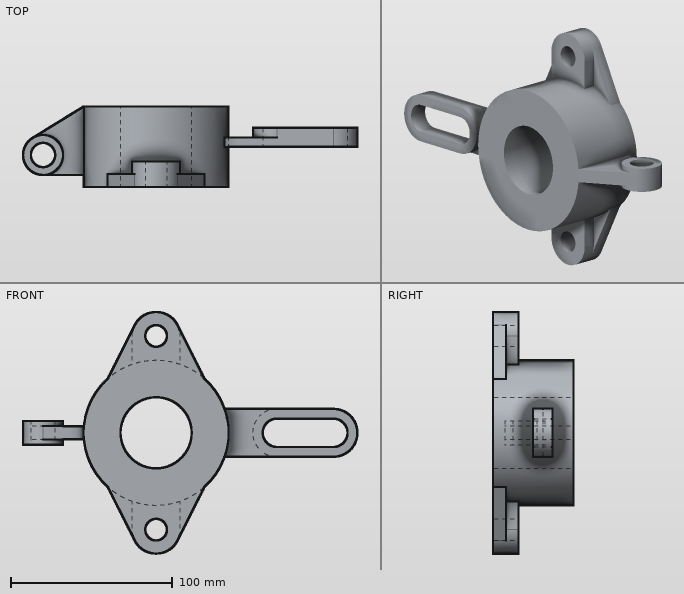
import cadquery as cq
import math

barrel_radius = 45.0
barrel_length = 50.0
bore_radius = 22.0

flange_length = 150.0
ear_radius = 15.0
ear_thickness = 16.0
ear_hole_radius = 6.6
ear_center_z = flange_length / 2 - ear_radius
web_thickness = 8.0
web_foot_x = 30.0
web_foot_z = math.sqrt(barrel_radius**2 - web_foot_x**2)

overall_length = 207.5
eye_radius = 12.5
eye_hole_radius = 7.5
eye_height = 15.0
eye_reach = 82.5
eye_x = eye_radius - eye_reach
eye_y = 20.0
bracket_thickness = 8.3

arm_radius = 15.0
arm_front_y = 25.0
arm_thickness = 12.0
arm_root_thickness = 6.0
slot_radius = 8.7
slot_spacing = 35.0
slot_outer_x = overall_length - eye_reach - arm_radius
slot_inner_x = slot_outer_x - slot_spacing
slot_middle_x = (slot_inner_x + slot_outer_x) / 2


def plane_facing_back(y):
    """XZ sketch plane at the given Y, extruding toward +Y; local y is -Z."""
    return cq.Workplane(cq.Plane(origin=(0, y, 0), xDir=(1, 0, 0), normal=(0, 1, 0)))


def tangent_point(px, py, cx, cy, radius, side):
    """Point where a line from (px, py) touches a circle; side (+1 or -1) picks which one."""
    toward = math.atan2(py - cy, px - cx)
    swing = math.acos(radius / math.hypot(px - cx, py - cy))
    angle = toward + side * swing
    return cx + radius * math.cos(angle), cy + radius * math.sin(angle)


def cylinder_along_y(x, z, radius, length):
    return plane_facing_back(0).center(x, -z).circle(radius).extrude(length)


def make_ear(side):
    """Round-ended ear with a thinner tapered web; side is +1 above and -1 below."""
    center_z = side * ear_center_z
    ear = cylinder_along_y(0, center_z, ear_radius, ear_thickness)
    neck = (
        plane_facing_back(0)
        .center(0, -center_z / 2)
        .rect(2 * ear_radius, ear_center_z)
        .extrude(ear_thickness)
    )
    touch_x, touch_z = tangent_point(web_foot_x, web_foot_z, 0, ear_center_z, ear_radius, 1)
    web = (
        plane_facing_back(0)
        .moveTo(0, 0)
        .lineTo(web_foot_x, -side * web_foot_z)
        .lineTo(touch_x, -side * touch_z)
        .lineTo(-touch_x, -side * touch_z)
        .lineTo(-web_foot_x, -side * web_foot_z)
        .close()
        .extrude(web_thickness)
    )
    return ear.union(neck).union(web)


def make_bracket():
    """Flat bracket from the barrel, tangent to an upright eye."""
    touch_x, touch_y = tangent_point(-barrel_radius, barrel_length, eye_x, eye_y, eye_radius, 1)
    plate = (
        cq.Workplane("XY")
        .moveTo(0, barrel_length)
        .lineTo(-barrel_radius, barrel_length)
        .lineTo(touch_x, touch_y)
        .lineTo(eye_x, eye_y - eye_radius)
        .lineTo(0, eye_y - eye_radius)
        .close()
        .extrude(bracket_thickness / 2, both=True)
    )
    eye = cq.Workplane("XY").center(eye_x, eye_y).circle(eye_radius).extrude(eye_height / 2, both=True)
    eye_hole = (
        cq.Workplane("XY").center(eye_x, eye_y).circle(eye_hole_radius).extrude(eye_height, both=True)
    )
    return plate.union(eye).cut(eye_hole)


def make_housing():
    housing = cylinder_along_y(0, 0, barrel_radius, barrel_length).union(make_bracket())
    for side in (1, -1):
        housing = housing.union(make_ear(side))
        housing = housing.cut(cylinder_along_y(0, side * ear_center_z, ear_hole_radius, ear_thickness))
    return housing.cut(cylinder_along_y(0, 0, bore_radius, barrel_length))


def make_arm():
    """Slotted arm whose thin root ends on the curved wall of the barrel."""
    pad = (
        plane_facing_back(arm_front_y)
        .center(slot_middle_x, 0)
        .slot2D(slot_spacing + 2 * arm_radius, 2 * arm_radius)
        .extrude(arm_thickness)
    )
    root = (
        plane_facing_back(arm_front_y)
        .center(slot_inner_x / 2, 0)
        .rect(slot_inner_x, 2 * arm_radius)
        .extrude(arm_root_thickness)
    )
    slot = (
        plane_facing_back(arm_front_y)
        .center(slot_middle_x, 0)
        .slot2D(slot_spacing + 2 * slot_radius, 2 * slot_radius)
        .extrude(arm_thickness)
    )
    barrel = cylinder_along_y(0, 0, barrel_radius, barrel_length)
    return pad.union(root).cut(slot).cut(barrel)


housing = make_housing()
arm = make_arm()
result = cq.Compound.makeCompound([housing.val(), arm.val()])